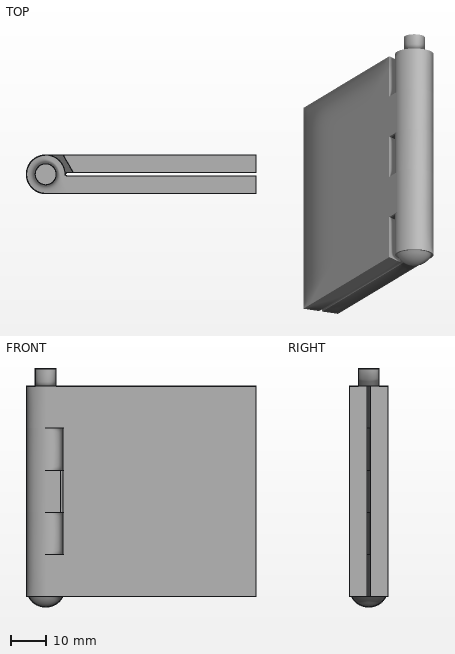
import cadquery as cq
import math

knuckle_count = 5
leaf_height = 60.0
knuckle_height = leaf_height / knuckle_count
knuckle_radius = 5.5
leaf_reach = 60.0
leaf_thickness = 5.0
half_gap = knuckle_radius - leaf_thickness

clearance_start = 4.95
clearance_angle = 30
clearance_slope = math.tan(math.radians(clearance_angle))

groove_width = 0.7

pin_diameter = 6.0
pin_projection = 5.0
head_radius = 4.9
head_height = 3.0

FRONT = -1
REAR = 1


def prism(points, side, level):
    """Extrude an outline over one knuckle height; side puts it on -Y or +Y."""
    outline = [(x, side * y) for x, y in points]
    plane = cq.Workplane("XY").workplane(offset=level * knuckle_height)
    return plane.polyline(outline).close().extrude(knuckle_height)


def knuckle_section(side, level):
    """Full knuckle with the plate running tangentially away from it."""
    plate = prism(
        [
            (0, 0),
            (0, knuckle_radius),
            (leaf_reach, knuckle_radius),
            (leaf_reach, half_gap),
            (knuckle_radius + half_gap, half_gap),
            (knuckle_radius, 0),
        ],
        side,
        level,
    )
    barrel = (
        cq.Workplane("XY")
        .workplane(offset=level * knuckle_height)
        .circle(knuckle_radius)
        .extrude(knuckle_height)
    )
    return plate.union(barrel)


def clearance_section(side, level):
    """Plate cut back at a slant, clear of the opposite leaf's knuckle."""
    return prism(
        [
            (clearance_start, knuckle_radius),
            (leaf_reach, knuckle_radius),
            (leaf_reach, half_gap),
            (clearance_start + leaf_thickness * clearance_slope, half_gap),
        ],
        side,
        level,
    )


def leaf(side, knuckle_parity):
    """Stack the sections; the leaf owns every second knuckle."""
    body = None
    for level in range(knuckle_count):
        owns_knuckle = level % 2 == knuckle_parity
        section = knuckle_section(side, level) if owns_knuckle else clearance_section(side, level)
        body = section if body is None else body.union(section)
    return body.clean()


def middle_groove():
    """One wall continues the slanted clearance edge, the other runs at 45 degrees."""
    depth = groove_width / (1 - clearance_slope)
    return prism(
        [
            (clearance_start - groove_width, knuckle_radius),
            (clearance_start, knuckle_radius),
            (clearance_start + depth * clearance_slope, knuckle_radius - depth),
        ],
        FRONT,
        knuckle_count // 2,
    )


def pin_end():
    """Plain pin end standing above the top knuckle."""
    base = cq.Workplane("XY").workplane(offset=leaf_height)
    return base.circle(pin_diameter / 2).extrude(pin_projection)


def pin_head():
    """Domed head below the bottom knuckle: a spherical cap."""
    sphere_radius = (head_radius**2 + head_height**2) / (2 * head_height)
    half_angle = math.asin(head_radius / sphere_radius) / 2
    center_height = sphere_radius - head_height
    mid_point = (
        sphere_radius * math.sin(half_angle),
        center_height - sphere_radius * math.cos(half_angle),
    )
    return (
        cq.Workplane("XZ")
        .lineTo(head_radius, 0)
        .threePointArc(mid_point, (0, -head_height))
        .close()
        .revolve(360, (0, 0, 0), (0, 1, 0))
    )


front_leaf = leaf(FRONT, 0).cut(middle_groove())
rear_leaf = leaf(REAR, 1)

result = front_leaf.union(rear_leaf, clean=False)
result = result.union(pin_end(), clean=False)
result = result.union(pin_head(), clean=False)